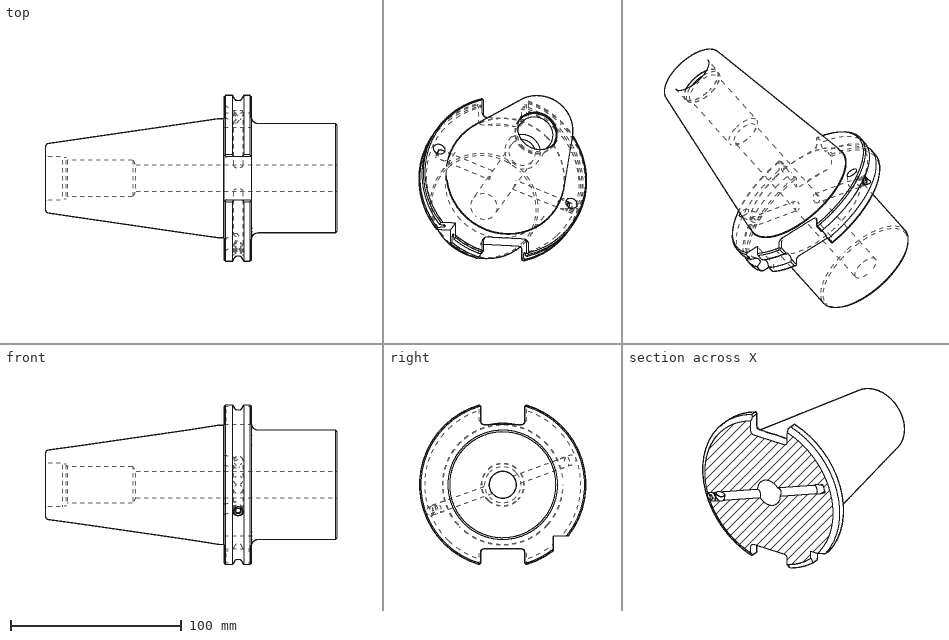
import cadquery as cq
import math

total_length = 170.6

gauge_x = 101.3
gauge_radius = 35.0
taper_half_slope = 7 / 48
tip_radius = gauge_radius - gauge_x * taper_half_slope
tip_fillet = 2.0
collar_fillet = 0.3

flange_front_x = 104.5
flange_back_x = 120.5
flange_length = flange_back_x - flange_front_x
flange_diameter = 97.4
flange_radius = flange_diameter / 2
flange_chamfer = 0.9
groove_x = 112.8
groove_depth = 3.0
groove_floor_width = 3.0
groove_half_angle = 30.0
groove_fillet = 1.4
groove_floor_radius = flange_radius - groove_depth

shank_radius = 32.0
shank_root_fillet = 4.1
shank_end_chamfer = 1.0

pilot_radius = 12.6
mouth_fillet = 1.2
pilot_depth = 10.0
relief_radius = 12.3
relief_end_x = 12.0
thread_radius = 10.5
thread_end_x = 51.2
through_radius = 7.8
bore_cone_angle = 60.0

slot_width = 25.6
slot_corner_radius = 2.0
slot_chamfer = 1.0
top_slot_floor = 35.1
bottom_slot_floor = 37.5

notch_y = 29.7
notch_z = 30.0

channel_angle = 20.0
cross_hole_end = 41.5
face_hole_diameter = 5.8
face_hole_offset = 42.0
face_hole_tilt = 34.0
plug_diameter = 5.5
plug_length = 4.5
plug_recess = 0.7
plug_tip_chamfer = 1.0
hex_across_flats = 3.0
hex_depth = 1.7
hex_turn = 20.0

margin = 1.7


def revolve_about_x(outline):
    return outline.close().revolve(360, (0, 0, 0), (1, 0, 0))


def turn_about_x(body, angle):
    return body.rotate((0, 0, 0), (1, 0, 0), angle)


def make_blank():
    """Taper, collar, flange and shank as one turned solid."""
    outline = (
        cq.Workplane("XY")
        .lineTo(0, tip_radius)
        .lineTo(gauge_x, gauge_radius)
        .lineTo(flange_front_x - collar_fillet, gauge_radius)
        .radiusArc((flange_front_x, gauge_radius + collar_fillet), -collar_fillet)
        .lineTo(flange_front_x, flange_radius - flange_chamfer)
        .lineTo(flange_front_x + flange_chamfer, flange_radius)
        .lineTo(flange_back_x - flange_chamfer, flange_radius)
        .lineTo(flange_back_x, flange_radius - flange_chamfer)
        .lineTo(flange_back_x, shank_radius + shank_root_fillet)
        .radiusArc((flange_back_x + shank_root_fillet, shank_radius), -shank_root_fillet)
        .lineTo(total_length - shank_end_chamfer, shank_radius)
        .lineTo(total_length, shank_radius - shank_end_chamfer)
        .lineTo(total_length, 0)
    )
    return revolve_about_x(outline).faces("<X").edges().fillet(tip_fillet)


def make_groove():
    """Ring that cuts the V-groove, with rounded floor corners."""
    half_floor = groove_floor_width / 2
    cut_height = groove_depth + margin
    half_top = half_floor + cut_height * math.tan(math.radians(groove_half_angle))
    ring = (
        cq.Workplane("XY")
        .moveTo(groove_x - half_floor, groove_floor_radius)
        .lineTo(groove_x + half_floor, groove_floor_radius)
        .lineTo(groove_x + half_top, groove_floor_radius + cut_height)
        .lineTo(groove_x - half_top, groove_floor_radius + cut_height)
    )
    ring = revolve_about_x(ring)
    return ring.edges(cq.selectors.RadiusNthSelector(0)).fillet(groove_fillet)


def make_bore():
    """Rounded mouth, pilot, relief, thread core and through hole, the last two entered by cones."""
    cone_slope = math.tan(math.radians(bore_cone_angle))
    thread_start_x = relief_end_x + (relief_radius - thread_radius) / cone_slope
    through_start_x = thread_end_x + (thread_radius - through_radius) / cone_slope
    outline = (
        cq.Workplane("XY")
        .lineTo(0, pilot_radius + mouth_fillet)
        .radiusArc((mouth_fillet, pilot_radius), -mouth_fillet)
        .lineTo(pilot_depth, pilot_radius)
        .lineTo(pilot_depth, relief_radius)
        .lineTo(relief_end_x, relief_radius)
        .lineTo(thread_start_x, thread_radius)
        .lineTo(thread_end_x, thread_radius)
        .lineTo(through_start_x, through_radius)
        .lineTo(total_length, through_radius)
        .lineTo(total_length, 0)
    )
    return revolve_about_x(outline)


def slot_wire(x, half_width, corner_radius, floor):
    """U-shaped slot section in the plane at x, open end outside the flange."""
    top = flange_radius + margin
    outline = (
        cq.Workplane("YZ", origin=(x, 0, 0))
        .moveTo(-half_width, top)
        .lineTo(-half_width, floor + corner_radius)
        .radiusArc((-half_width + corner_radius, floor), -corner_radius)
        .lineTo(half_width - corner_radius, floor)
        .radiusArc((half_width, floor + corner_radius), -corner_radius)
        .lineTo(half_width, top)
        .close()
    )
    return outline.val()


def make_slot(floor):
    """Cutter for one slot open upwards, with its chamfered front and outer edges."""
    half_width = slot_width / 2
    wide_half = half_width + slot_chamfer
    wide_corner = slot_corner_radius + slot_chamfer
    length = cq.Vector(flange_length, 0, 0)
    chamfer_end_x = flange_front_x + slot_chamfer

    narrow_section = slot_wire(flange_front_x, half_width, slot_corner_radius, floor)
    slot = cq.Solid.extrudeLinear(narrow_section, [], length)

    wide_section = slot_wire(flange_front_x, wide_half, wide_corner, floor)
    chamfer_end_section = slot_wire(chamfer_end_x, half_width, slot_corner_radius, floor)
    front_chamfer = cq.Solid.makeLoft([wide_section, chamfer_end_section], True)

    rim_z = math.sqrt(flange_radius**2 - wide_half**2)
    outer_chamfer = (
        cq.Workplane("YZ", origin=(flange_front_x, 0, 0))
        .moveTo(-half_width, rim_z - slot_chamfer)
        .lineTo(half_width, rim_z - slot_chamfer)
        .lineTo(wide_half + margin, rim_z + margin)
        .lineTo(-wide_half - margin, rim_z + margin)
        .close()
        .extrude(flange_length)
    )
    return outer_chamfer.union(cq.Workplane(obj=slot)).union(cq.Workplane(obj=front_chamfer))


def make_notch():
    """Block that cuts the lower +Y corner through the whole flange."""
    block = cq.Workplane("XY").box(flange_length, flange_radius, flange_radius, centered=False)
    return block.translate((flange_front_x, notch_y, -notch_z - flange_radius))


def make_face_hole():
    """Tilted hole from the flange face to the cross hole, in the +Y half plane."""
    tilt = math.radians(face_hole_tilt)
    inward = cq.Vector(math.cos(tilt), -math.sin(tilt), 0)
    mouth = cq.Vector(flange_front_x, face_hole_offset, 0)
    length = (groove_x - flange_front_x) / math.cos(tilt)
    run_in = face_hole_diameter / 2 * math.tan(tilt) + margin
    hole = cq.Solid.makeCylinder(face_hole_diameter / 2, length + run_in, mouth - inward * run_in, inward)
    return cq.Workplane(obj=hole)


def make_cross_hole():
    """Straight hole from the groove on the -Y side, across the bore to the far face hole."""
    start = cq.Vector(groove_x, -flange_radius, 0)
    length = flange_radius + cross_hole_end
    hole = cq.Solid.makeCylinder(plug_diameter / 2, length, start, cq.Vector(0, 1, 0))
    return cq.Workplane(obj=hole)


def make_holder():
    holder = make_blank().cut(make_groove()).cut(make_bore()).cut(make_notch())
    holder = holder.cut(make_slot(top_slot_floor))
    holder = holder.cut(turn_about_x(make_slot(bottom_slot_floor), 180))
    for side_angle in (0, 180):
        holder = holder.cut(turn_about_x(make_face_hole(), channel_angle + side_angle))
    return holder.cut(turn_about_x(make_cross_hole(), channel_angle))


def make_plug():
    """Set screw with a hexagon socket and a chamfered tip, closing the cross hole."""
    outer_end = groove_floor_radius - plug_recess
    face = cq.Workplane("XZ", origin=(groove_x, -outer_end, 0))
    plug = face.circle(plug_diameter / 2).extrude(-plug_length)
    plug = plug.faces(">Y").chamfer(plug_tip_chamfer)
    turned_face = face.transformed(rotate=(0, 0, hex_turn))
    socket = turned_face.polygon(6, hex_across_flats, circumscribed=True).extrude(-hex_depth)
    return turn_about_x(plug.cut(socket), channel_angle)


holder = make_holder()
plug = make_plug()

result = cq.Compound.makeCompound([holder.solids().val(), plug.solids().val()])